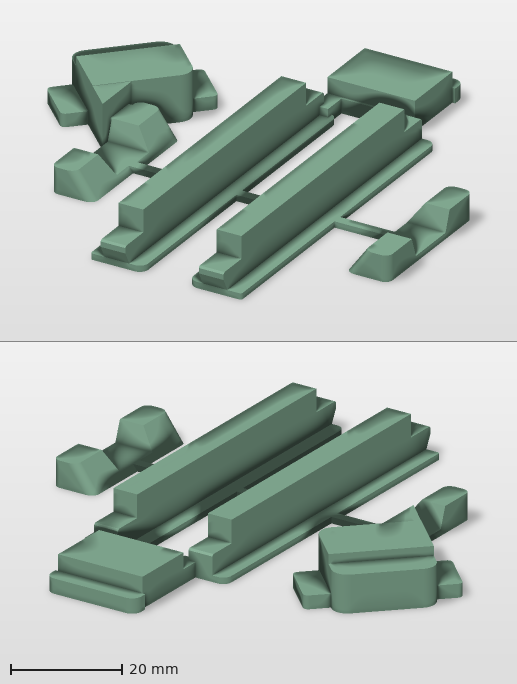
import cadquery as cq
import math


base_height = 1.3
link_width = 2.0

rail_offset = 10.25
rail_height = 10.0
plate_width = 11.1
plate_back = 35.0
plate_front = -34.0
plate_radius = 1.8
plate_small_radius = 0.5
bar_width = 5.2
bar_step_height = 5.35
bar_chamfer = 0.4
ridge_back = 28.75
ridge_front = -29.0
nose_front = -35.4
nose_under_height = 3.9

head_width = 18.3
head_height = 6.3
head_low_height = 3.0
head_back = 52.1
head_front = 38.8
ledge_front = 38.3
lip_width = 19.5
lip_back = 55.3
lip_radius = 2.0
arm_width = 3.3
arm_front = 33.6

foot_outer = 35.3
foot_width = 9.0
foot_top_width = 5.1
foot_height = 5.35
foot_half_length = 15.0
foot_radius = 1.5
saddle_half_bottom = 5.3
saddle_half_top = 6.7
foot_shift = 0.5
bridge_back = 13.15

block_center = (-40.0, 22.0)
block_tilt = 45
block_length = 19.3
block_width = 17.4
block_height = 9.5
block_radius = 3.0
step_width = 5.5
step_height = 7.6
tab_length = 5.0
tab_width = 10.9
tab_height = 2.7
tab_radius = 1.0
gusset_x = -35.55
gusset_drop = 0.1


def box(x_min, x_max, y_min, y_max, height):
    """Box standing on Z = 0."""
    return (
        cq.Workplane("XY")
        .box(x_max - x_min, y_max - y_min, height, centered=False)
        .translate((x_min, y_min, 0))
    )


def make_rail():
    """Right rail: stepped bar on a base plate whose outer front corner is only eased."""
    left = rail_offset - plate_width / 2
    right = rail_offset + plate_width / 2
    plate = (
        box(left, right, plate_front, plate_back, base_height)
        .edges("|Z and (<X or >Y)")
        .fillet(plate_radius)
        .edges("|Z and >(1, -1, 0)")
        .fillet(plate_small_radius)
    )
    bar_profile = [
        (plate_back, 0),
        (plate_back, bar_step_height - bar_chamfer),
        (plate_back - bar_chamfer, bar_step_height),
        (ridge_back, bar_step_height),
        (ridge_back, rail_height),
        (ridge_front, rail_height),
        (ridge_front, bar_step_height),
        (nose_front + bar_chamfer, bar_step_height),
        (nose_front, bar_step_height - bar_chamfer),
        (nose_front, nose_under_height),
        (plate_front, base_height),
        (plate_front, 0),
    ]
    bar = (
        cq.Workplane("YZ")
        .workplane(offset=rail_offset - bar_width / 2)
        .polyline(bar_profile)
        .close()
        .extrude(bar_width)
    )
    return plate.union(bar)


def make_head():
    """Raised block with a rounded lip behind it and two arms reaching onto the rails."""
    half_width = head_width / 2
    head = box(-half_width, half_width, head_front, head_back, head_height)
    lip = (
        box(-lip_width / 2, lip_width / 2, head_back, lip_back, head_low_height)
        .edges("|Z and >Y")
        .fillet(lip_radius)
    )
    ledge = box(-half_width, half_width, ledge_front, head_front, head_low_height)
    head = head.union(lip).union(ledge)
    for arm_left in (-half_width, half_width - arm_width):
        head = head.union(box(arm_left, arm_left + arm_width, arm_front, ledge_front, head_low_height))
    return head


def cut_saddle(body):
    """Lower the middle of a foot to the base height, with sloped ends."""
    run_per_height = (saddle_half_top - saddle_half_bottom) / (foot_height - base_height)
    cut_top = rail_height
    cut_half = saddle_half_bottom + run_per_height * (cut_top - base_height)
    saddle = (
        cq.Workplane("YZ")
        .polyline([
            (-saddle_half_bottom, base_height),
            (saddle_half_bottom, base_height),
            (cut_half, cut_top),
            (-cut_half, cut_top),
        ])
        .close()
        .extrude(foot_outer * 2, both=True)
    )
    return body.cut(saddle)


def make_foot():
    """Right foot: upright outer face, sloped inner face and a saddle between its two ends."""
    foot = (
        cq.Workplane("XZ")
        .polyline([
            (foot_outer - foot_width, 0),
            (foot_outer, 0),
            (foot_outer, foot_height),
            (foot_outer - foot_top_width, foot_height),
        ])
        .close()
        .extrude(foot_half_length, both=True)
        .edges("not (|X or |Y)")
        .fillet(foot_radius)
    )
    return cut_saddle(foot)


def make_left_foot():
    """Mirrored foot whose back half is shifted inwards and bridged to the tilted block."""
    foot = make_foot().mirror("YZ")
    split = link_width / 2
    back_space = box(-2 * foot_outer, 0, split, 2 * foot_half_length, rail_height)
    front_half = foot.cut(back_space)
    back_half = foot.translate((foot_shift, 0, 0)).intersect(back_space)
    outer_strip = cut_saddle(box(-foot_outer, -foot_outer + foot_top_width, 0, bridge_back, foot_height))
    bridge = box(gusset_x, -foot_outer, saddle_half_top, bridge_back, foot_height)
    return front_half.union(back_half).union(outer_strip).union(bridge)


def make_block():
    """Stepped block, tilted in plan, with side tabs, a sprue and a corner gusset to the left foot."""
    half_length = block_length / 2
    half_width = block_width / 2
    block = (
        box(-half_length, half_length, -half_width, half_width, block_height)
        .edges("|Z and (>X or >Y)")
        .fillet(block_radius)
    )
    step = box(-half_length, half_length, half_width - step_width, half_width, block_height)
    block = block.cut(step.translate((0, 0, step_height)))
    tabs = (
        box(
            -half_length - tab_length,
            half_length + tab_length,
            -tab_width / 2,
            tab_width / 2,
            tab_height,
        )
        .edges("|Z")
        .fillet(tab_radius)
    )
    sprue = box(-link_width, 0, -half_width - link_width * 2, 0, base_height)
    block = block.union(tabs).union(sprue)
    block = block.rotate((0, 0, 0), (0, 0, 1), block_tilt).translate((*block_center, 0))

    tilt = math.radians(block_tilt)
    corner_x = block_center[0] - half_length * math.cos(tilt) + half_width * math.sin(tilt)
    corner_y = block_center[1] - half_length * math.sin(tilt) - half_width * math.cos(tilt)
    reach = gusset_x - corner_x
    gusset = (
        cq.Workplane("XY")
        .polyline([
            (corner_x, corner_y),
            (gusset_x, corner_y - reach / math.tan(tilt)),
            (gusset_x, corner_y + reach * math.tan(tilt)),
        ])
        .close()
        .extrude(block_height - gusset_drop)
    )
    return block.union(gusset)


rail = make_rail()
link_reach = foot_outer - foot_top_width
links = box(-link_reach, link_reach, -link_width / 2, link_width / 2, base_height)

result = (
    links.union(rail)
    .union(rail.mirror("YZ"))
    .union(make_head())
    .union(make_foot())
    .union(make_left_foot())
    .union(make_block())
)